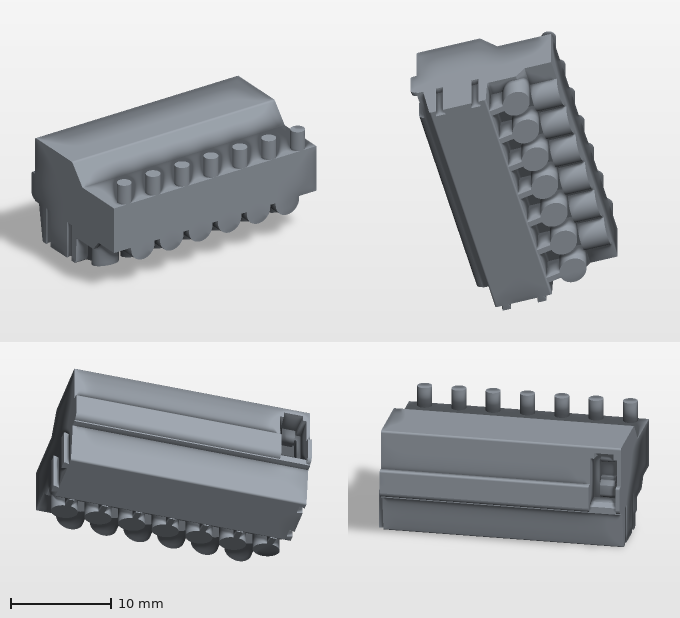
import cadquery as cq
import math

length = 24.5
total_width = 14.6
total_height = 11.1
shelf_z = 9.0
shoulder_z = 4.0
recess_z = 2.92
wall_x = 0.6
ledge_top_z = 7.07
ledge_bottom_z = 4.67
ledge_root_z = 4.14
ledge_curve_mid = (0.2, 4.3)
skirt_top_x = 1.3
skirt_bottom_x = 1.95
skirt_back_top_x = 7.95
skirt_back_bottom_x = 7.8
block_top_end_x = 7.2
block_foot_x = 9.0
step_start_x = 10.93
step_end_x = 11.83
edge_radius = 0.2
slope_radius = 0.35

terminal_count = 7
terminal_pitch = 3.5
first_terminal_y = terminal_pitch / 2
pin_radius = 0.75
pin_x = total_width - pin_radius
post_radius = 1.355
post_x = step_end_x - post_radius
post_low_z = 1.1
web_width = 0.6
barrel_radius = 1.42
barrel_bottom_z = 2.33

joint_xs = (2.97, 6.64)
rib_neck = 0.56
rib_head = 0.88
rib_height = 0.58
rib_head_thickness = 0.2
groove_clearance = 0.1
groove_lead_in = 0.06

window_y0 = 0.41
window_y1 = 3.16
window_top_z = 9.83
window_back_x = 2.74
window_draft = 0.2
notch_y0 = 0.73
notch_y1 = 2.75
notch_top_z = 10.43
sill_front_z = 4.67
sill_z = 4.91
sill_crest_x = 1.43
socket_y0 = 0.82
socket_y1 = 2.6
socket_bottom_z = 6.3
socket_top_z = 9.03
socket_depth = 0.8
socket_corner = 0.15

contact_standoff = 0.25
lower_contact_y0 = 1.0
lower_contact_y1 = 2.5
lower_contact_bottom_z = 4.95
lower_contact_face_z = 6.3
lower_contact_top_z = 6.75
lower_contact_radius = 0.42
lower_contact_spring_x = window_back_x + 0.3
lower_contact_spring_z = 7.05
upper_contact_y0 = 1.06
upper_contact_y1 = 2.42
upper_contact_bottom_z = 8.72
upper_contact_face_z = 10.0
upper_contact_top_z = 10.25
upper_contact_radius = 0.5


def box_between(x0, x1, y0, y1, z0, z1):
    return cq.Workplane("XY").box(x1 - x0, y1 - y0, z1 - z0, centered=False).translate((x0, y0, z0))


def extrude_along_y(outline, y0, y1):
    """Extrude a closed X-Z outline from y0 to y1."""
    return outline.extrude(-(y1 - y0)).translate((0, y0, 0))


def edge_at(x, z, reach=0.05, end_margin=1.0):
    """Select the edge along Y that passes through (x, z)."""
    return cq.selectors.BoxSelector(
        (x - reach, -end_margin, z - reach), (x + reach, length + end_margin, z + reach)
    )


def make_housing():
    outline = (
        cq.Workplane("XZ")
        .moveTo(wall_x, total_height)
        .lineTo(block_top_end_x, total_height)
        .lineTo(block_foot_x, shelf_z)
        .lineTo(total_width, shelf_z)
        .lineTo(total_width, shoulder_z)
        .lineTo(step_end_x, shoulder_z)
        .lineTo(step_start_x, recess_z)
        .lineTo(skirt_back_top_x, recess_z)
        .lineTo(skirt_back_bottom_x, 0)
        .lineTo(skirt_bottom_x, 0)
        .lineTo(skirt_top_x, shoulder_z)
        .lineTo(wall_x, shoulder_z)
        .lineTo(wall_x, ledge_root_z)
        .threePointArc(ledge_curve_mid, (0, ledge_bottom_z))
        .lineTo(0, ledge_top_z)
        .lineTo(wall_x, ledge_top_z)
        .close()
    )
    housing = extrude_along_y(outline, 0, length)
    rounded = (
        (wall_x, total_height, edge_radius),
        (0, ledge_top_z, edge_radius),
        (skirt_bottom_x, 0, edge_radius),
        (skirt_back_bottom_x, 0, edge_radius),
        (skirt_back_top_x, recess_z, edge_radius),
        (block_top_end_x, total_height, slope_radius),
    )
    for x, z, radius in rounded:
        housing = housing.edges(edge_at(x, z)).fillet(radius)
    return housing


def make_pin(y):
    pin = cq.Workplane("XY").circle(pin_radius).extrude(total_height - shoulder_z)
    return pin.translate((pin_x, y, shoulder_z))


def make_post(y):
    """Round post joined to the skirt by a web, with one sloped underside."""
    post = cq.Workplane("XY").center(post_x, y).circle(post_radius).extrude(shoulder_z)
    web = box_between(
        skirt_back_bottom_x, post_x, y - web_width / 2, y + web_width / 2, 0, shoulder_z
    )
    side_outline = (
        cq.Workplane("XZ")
        .moveTo(skirt_back_bottom_x, 0)
        .lineTo(step_end_x, post_low_z)
        .lineTo(step_end_x, shoulder_z)
        .lineTo(step_start_x, recess_z)
        .lineTo(skirt_back_bottom_x, recess_z)
        .close()
    )
    envelope = extrude_along_y(side_outline, y - post_radius, y + post_radius)
    return post.union(web).intersect(envelope)


def make_barrel(y):
    """U-shaped rib along X under the shoulder."""
    axis_z = barrel_bottom_z + barrel_radius
    return (
        cq.Workplane("YZ")
        .moveTo(y - barrel_radius, shoulder_z)
        .lineTo(y - barrel_radius, axis_z)
        .threePointArc((y, barrel_bottom_z), (y + barrel_radius, axis_z))
        .lineTo(y + barrel_radius, shoulder_z)
        .close()
        .extrude(total_width - step_end_x)
        .translate((step_end_x, 0, 0))
    )


def make_dovetail(x, y, clearance=0.0):
    """Dovetail bar with its neck at y and its head towards +Y."""
    neck = (rib_neck + clearance) / 2
    head = (rib_head + clearance) / 2
    head_y = y + rib_height - rib_head_thickness
    return (
        cq.Workplane("XY")
        .moveTo(x - neck, y)
        .lineTo(x - head, head_y)
        .lineTo(x - head, y + rib_height)
        .lineTo(x + head, y + rib_height)
        .lineTo(x + head, head_y)
        .lineTo(x + neck, y)
        .close()
        .extrude(shoulder_z)
    )


def make_groove(x):
    """Dovetail slot into the -Y end face, with a bevelled mouth."""
    slot_half = (rib_neck + groove_clearance) / 2
    mouth_half = slot_half + groove_lead_in
    mouth = (
        cq.Workplane("XY")
        .moveTo(x - mouth_half, 0)
        .lineTo(x - slot_half, groove_lead_in)
        .lineTo(x + slot_half, groove_lead_in)
        .lineTo(x + mouth_half, 0)
        .close()
        .extrude(shoulder_z)
    )
    return make_dovetail(x, 0, groove_clearance).union(mouth)


def make_window():
    """Cutter for the window, the notch above it and the socket behind it."""
    outline = (
        cq.Workplane("XZ")
        .moveTo(0, shoulder_z)
        .lineTo(wall_x, shoulder_z)
        .lineTo(wall_x, sill_front_z)
        .lineTo(sill_crest_x, sill_z)
        .lineTo(window_back_x, sill_z)
        .lineTo(window_back_x, window_top_z - window_draft)
        .lineTo(wall_x, window_top_z)
        .lineTo(0, window_top_z)
        .close()
    )
    window = extrude_along_y(outline, window_y0, window_y1)
    notch_depth = window_back_x - wall_x
    notch_height = notch_top_z - sill_z
    notch = (
        cq.Workplane("YZ")
        .center((notch_y0 + notch_y1) / 2, sill_z + notch_height / 2)
        .rect(notch_y1 - notch_y0, notch_height)
        .extrude(notch_depth, taper=math.degrees(math.atan2(window_draft, notch_depth)))
        .translate((wall_x, 0, 0))
    )
    socket = box_between(
        window_back_x, window_back_x + socket_depth, socket_y0, socket_y1, socket_bottom_z, socket_top_z
    )
    socket = socket.edges("|X").chamfer(socket_corner)
    return window.union(notch).union(socket)


def make_contact(y0, y1, bottom_z, face_z, top_z, radius):
    """Contact blade with a rounded lower edge and a sloped top."""
    front_x = window_back_x - contact_standoff
    root_x = window_back_x + socket_depth
    outline = (
        cq.Workplane("XZ")
        .moveTo(root_x, bottom_z)
        .lineTo(front_x, bottom_z)
        .lineTo(front_x, face_z)
        .lineTo(window_back_x, top_z)
        .lineTo(root_x, top_z)
        .close()
    )
    contact = extrude_along_y(outline, y0, y1)
    return contact.edges(edge_at(front_x, bottom_z)).fillet(radius)


lower_contact = make_contact(
    lower_contact_y0, lower_contact_y1, lower_contact_bottom_z,
    lower_contact_face_z, lower_contact_top_z, lower_contact_radius,
)
upper_contact = make_contact(
    upper_contact_y0, upper_contact_y1, upper_contact_bottom_z,
    upper_contact_face_z, upper_contact_top_z, upper_contact_radius,
)
lower_spring = box_between(
    lower_contact_spring_x, window_back_x + socket_depth,
    lower_contact_y0, lower_contact_y1, lower_contact_face_z, lower_contact_spring_z,
)

result = make_housing().cut(make_window())
result = result.union(lower_contact).union(lower_spring).union(upper_contact)

for index in range(terminal_count):
    terminal_y = first_terminal_y + index * terminal_pitch
    result = result.union(make_pin(terminal_y))
    result = result.union(make_post(terminal_y))

for index in range(terminal_count - 1):
    barrel_y = first_terminal_y + (index + 0.5) * terminal_pitch
    result = result.union(make_barrel(barrel_y))

for joint_x in joint_xs:
    result = result.union(make_dovetail(joint_x, length))
    result = result.cut(make_groove(joint_x))